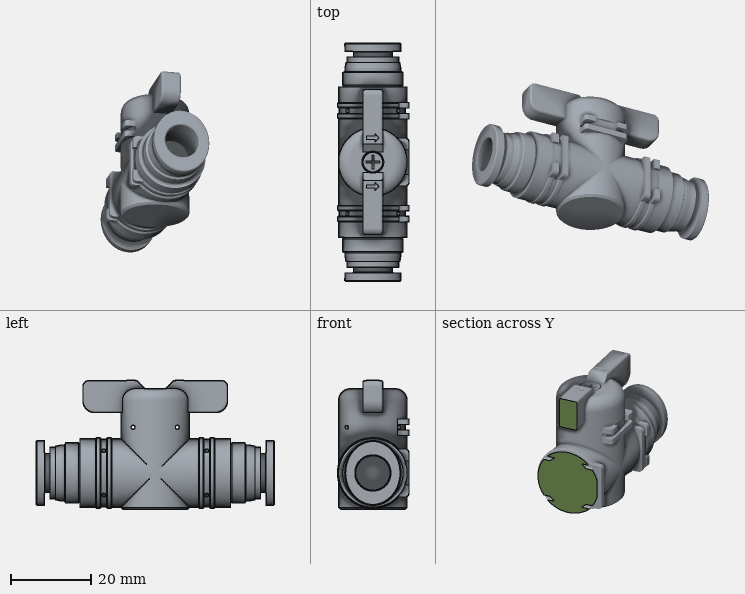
import cadquery as cq


OVERALL_LENGTH = 59.2
END = OVERALL_LENGTH / 2

TUBE_RADIUS = 8.5
ARM_END = 18.7
POST_BOTTOM = -9.05
BOTTOM_CHAMFER = 0.55
POST_TOP = 20.95
DOME_FILLET = 2.95

PORT_ROOT_RADIUS = 7.15
COLLAR_RADIUS = 7.5
COLLAR_START = 19.1
COLLAR_END = 22.25
NOSE_RADIUS = 7.0
NOSE_START = 22.55
NOSE_STRAIGHT_END = 23.25
NOSE_TIP_RADIUS = 6.7
NOSE_END = 24.75
LIP_RADIUS = 6.45
LIP_END = 26.15
LIP_CHAMFER = 0.05
SLEEVE_RADIUS = 4.85
FLANGE_START = 27.5
FLANGE_HALF_WIDTH = 7.0
FLANGE_HALF_HEIGHT = 8.05
FLANGE_CHAMFER = 0.25
SLEEVE_BEVEL = 0.2
BORE_RADIUS = 4.25
BORE_CHAMFER = 0.25
BORE_DEPTH = 11.85

RING_RADIUS = 8.8
RING_WIDTH = 1.4
RING_TAPER = 0.25
RING_SPACING = 2.7
ARM_PAIR_OFFSET = 12.8
POST_PAIR_OFFSET = 11.35
GAP_RADIUS = 8.4

LUG_REACH = 9.0
LUG_HALF_WIDTH = 6.0
LUG_FILLET = 0.95
LUG_SLOT_FLOOR = LUG_REACH - LUG_FILLET
LUG_SLOT_HALF_WIDTH = 3.0

CROSS_HOLE_RADIUS = 0.5
CROSS_HOLE_OFFSET = 5.5
CROSS_HOLE_FLOOR_RADIUS = 7.1

WING_HALF_WIDTH = 2.5
WING_BOTTOM = 15.0
WING_TOP = 22.95
WING_END = 18.0
WING_INNER_END = 2.55
WING_TOP_RADIUS = 1.55
WING_BOTTOM_RADIUS = 2.95
WING_EDGE_FILLET = 0.55

ARROW_HEIGHT = 0.2
ARROW_OFFSET = 6.05
ARROW_HALF_LENGTH = 1.55
ARROW_HEAD_START = 0.55
ARROW_HEAD_HALF_WIDTH = 1.0
ARROW_SHAFT_HALF_WIDTH = 0.4

SCREW_RADIUS = 2.4
SCREW_DEPTH = 2.35
SCREW_SEAT_RADIUS = 2.7
RECESS_RADIUS = 1.7
RECESS_WIDTH = 0.5


def cylinder_y(radius, start, end):
    return cq.Workplane("XZ", origin=(0, start, 0)).circle(radius).extrude(start - end)


def crossed_tubes():
    arms = cylinder_y(TUBE_RADIUS, -ARM_END, ARM_END)
    post = (
        cq.Workplane("XY", origin=(0, 0, POST_BOTTOM))
        .circle(TUBE_RADIUS)
        .extrude(POST_TOP - POST_BOTTOM)
        .faces("<Z").chamfer(BOTTOM_CHAMFER)
        .faces(">Z").edges().fillet(DOME_FILLET)
    )
    return arms.union(post)


def turned_about_y(profile):
    """Round body from (radius, Y) points; the profile is closed along the Y axis."""
    return cq.Workplane("XY").polyline(profile).close().revolve(360, (0, 0, 0), (0, 1, 0))


def port():
    """Round nose with a cone-ended collar, and oval release flange at the +Y end."""
    nose = turned_about_y([
        (0, ARM_END),
        (PORT_ROOT_RADIUS, ARM_END),
        (COLLAR_RADIUS, COLLAR_START),
        (COLLAR_RADIUS, COLLAR_END),
        (NOSE_RADIUS, NOSE_START),
        (NOSE_RADIUS, NOSE_STRAIGHT_END),
        (NOSE_TIP_RADIUS, NOSE_END),
        (LIP_RADIUS, NOSE_END),
        (LIP_RADIUS, LIP_END - LIP_CHAMFER),
        (LIP_RADIUS - LIP_CHAMFER, LIP_END),
        (SLEEVE_RADIUS, LIP_END),
        (SLEEVE_RADIUS, FLANGE_START - SLEEVE_BEVEL),
        (SLEEVE_RADIUS + SLEEVE_BEVEL, FLANGE_START),
        (0, FLANGE_START),
    ])
    flange = (
        cq.Workplane("XZ", origin=(0, FLANGE_START, 0))
        .ellipse(FLANGE_HALF_WIDTH, FLANGE_HALF_HEIGHT)
        .extrude(FLANGE_START - END)
        .faces(">Y").edges().chamfer(FLANGE_CHAMFER)
    )
    return nose.union(flange)


def bore():
    """Blind bore with a chamfered mouth at the +Y end."""
    return turned_about_y([
        (0, END - BORE_DEPTH),
        (BORE_RADIUS, END - BORE_DEPTH),
        (BORE_RADIUS, END - BORE_CHAMFER),
        (BORE_RADIUS + BORE_CHAMFER, END),
        (0, END),
    ])


def ring(center):
    """Ring with tapered flanks round the +Y arm."""
    foot = RING_WIDTH / 2
    crest = foot - RING_TAPER
    return turned_about_y([
        (0, center - foot),
        (TUBE_RADIUS, center - foot),
        (RING_RADIUS, center - crest),
        (RING_RADIUS, center + crest),
        (TUBE_RADIUS, center + foot),
        (0, center + foot),
    ])


def lug(center):
    """Lug from the X = 0 plane out past the +X side of the +Y arm, rounded along its outer edges."""
    return (
        cq.Workplane("XZ", origin=(LUG_REACH / 2, center + RING_WIDTH / 2, 0))
        .rect(LUG_REACH, 2 * LUG_HALF_WIDTH)
        .extrude(RING_WIDTH)
        .edges(">X and |Y").fillet(LUG_FILLET)
    )


def pair_centers(center):
    return (center - RING_SPACING / 2, center + RING_SPACING / 2)


def lug_slot(center):
    """Flat-floored slot across the outer lug and the gap next to it."""
    inner, outer = pair_centers(center)
    start = inner + RING_WIDTH / 2
    end = outer + RING_WIDTH / 2
    return (
        cq.Workplane("XY", origin=(LUG_SLOT_FLOOR, start, 0))
        .box(LUG_REACH, end - start, 2 * LUG_SLOT_HALF_WIDTH, centered=(False, False, True))
    )


def ring_gap(center):
    """Shallow groove between the two rings, on the round part of the arm."""
    width = RING_SPACING - RING_WIDTH
    tube = cylinder_y(TUBE_RADIUS, center - width / 2, center + width / 2)
    return tube.cut(cylinder_y(GAP_RADIUS, center - width / 2, center + width / 2))


def cross_hole(along, across):
    """Hole parallel to X at the given place along +Y and across it in Z."""
    return (
        cq.Workplane("YZ", origin=(-2 * TUBE_RADIUS, along, across))
        .circle(CROSS_HOLE_RADIUS)
        .extrude(4 * TUBE_RADIUS)
    )


def arm_details(housing):
    """Port, rings, lugs and blind cross holes of the +Y arm, added to the housing."""
    core = cylinder_y(CROSS_HOLE_FLOOR_RADIUS, 0, END)
    housing = housing.union(port()).cut(ring_gap(ARM_PAIR_OFFSET))
    for center in pair_centers(ARM_PAIR_OFFSET):
        housing = housing.union(ring(center)).union(lug(center))
    housing = housing.cut(lug_slot(ARM_PAIR_OFFSET))
    for across in (-CROSS_HOLE_OFFSET, CROSS_HOLE_OFFSET):
        housing = housing.cut(cross_hole(ARM_PAIR_OFFSET, across).cut(core))
    return housing.cut(bore())


def turned_up(shape):
    return shape.rotate((0, 0, 0), (1, 0, 0), 90)


def post_details(housing):
    """Lugs and through cross holes of the post, laid out along +Y and turned up to +Z."""
    for center in pair_centers(POST_PAIR_OFFSET):
        housing = housing.union(turned_up(lug(center)))
    housing = housing.cut(turned_up(lug_slot(POST_PAIR_OFFSET)))
    for across in (-CROSS_HOLE_OFFSET, CROSS_HOLE_OFFSET):
        housing = housing.cut(turned_up(cross_hole(POST_PAIR_OFFSET, across)))
    return housing


def wing():
    """Handle wing on the +Y side; its inner end slopes at 45 degrees down to the post top."""
    blade = (
        cq.Workplane("YZ", origin=(-WING_HALF_WIDTH, 0, 0))
        .moveTo(0, WING_BOTTOM)
        .lineTo(WING_END, WING_BOTTOM)
        .lineTo(WING_END, WING_TOP)
        .lineTo(0, WING_TOP)
        .close()
        .extrude(2 * WING_HALF_WIDTH)
        .edges("|X and >Y and >Z").fillet(WING_TOP_RADIUS)
        .edges("|X and >Y and <Z").fillet(WING_BOTTOM_RADIUS)
        .faces("<X or >X").edges("not <Y").fillet(WING_EDGE_FILLET)
    )
    notch = (
        cq.Workplane("YZ", origin=(-WING_HALF_WIDTH, 0, 0))
        .moveTo(0, POST_TOP - WING_INNER_END)
        .lineTo(WING_INNER_END + WING_TOP - POST_TOP, WING_TOP)
        .lineTo(0, WING_TOP)
        .close()
        .extrude(2 * WING_HALF_WIDTH)
    )
    return blade.cut(notch)


def arrow(center):
    """Raised arrow pointing to +X on the wing top, centred at the given Y."""
    return (
        cq.Workplane("XY", origin=(0, center, WING_TOP))
        .moveTo(-ARROW_HALF_LENGTH, -ARROW_SHAFT_HALF_WIDTH)
        .lineTo(ARROW_HEAD_START, -ARROW_SHAFT_HALF_WIDTH)
        .lineTo(ARROW_HEAD_START, -ARROW_HEAD_HALF_WIDTH)
        .lineTo(ARROW_HALF_LENGTH, 0)
        .lineTo(ARROW_HEAD_START, ARROW_HEAD_HALF_WIDTH)
        .lineTo(ARROW_HEAD_START, ARROW_SHAFT_HALF_WIDTH)
        .lineTo(-ARROW_HALF_LENGTH, ARROW_SHAFT_HALF_WIDTH)
        .close()
        .extrude(ARROW_HEIGHT)
    )


def screw_cylinder(radius):
    """Cylinder reaching from the screw's seat up to the post top."""
    return cq.Workplane("XY", origin=(0, 0, POST_TOP - SCREW_DEPTH)).circle(radius).extrude(SCREW_DEPTH)


def cross_recess():
    """Cross with a conical 45 degree floor, as deep as its arms are long."""
    bottom = POST_TOP - RECESS_RADIUS
    plane = cq.Workplane("XY", origin=(0, 0, bottom))
    bar = plane.rect(2 * RECESS_RADIUS, RECESS_WIDTH).extrude(RECESS_RADIUS)
    cross = bar.union(bar.rotate((0, 0, 0), (0, 0, 1), 90))
    cone = cq.Solid.makeCone(0, RECESS_RADIUS, RECESS_RADIUS, pnt=cq.Vector(0, 0, bottom))
    return cross.intersect(cq.Workplane(cone))


def build_housing():
    housing = arm_details(crossed_tubes())
    housing = arm_details(housing.mirror("XZ")).mirror("XZ")
    housing = post_details(housing)
    for side_wing in (wing(), wing().mirror("XZ")):
        housing = housing.union(side_wing)
    for center in (-ARROW_OFFSET, ARROW_OFFSET):
        housing = housing.union(arrow(center))
    return housing.cut(screw_cylinder(SCREW_SEAT_RADIUS))


def build_screw():
    """Flush cross-recessed screw, with an annular gap to the wall of its seat."""
    return screw_cylinder(SCREW_RADIUS).cut(cross_recess())


housing = build_housing()
screw = build_screw()
result = cq.Compound.makeCompound([housing.val(), screw.val()])